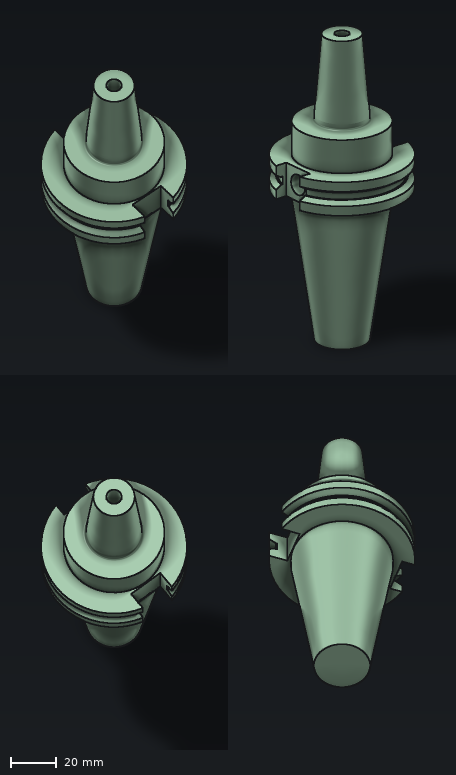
import cadquery as cq

total_height = 144.5
gauge_height = 68.5
flange_bottom = 71.6
flange_thickness = 15.9
flange_top = flange_bottom + flange_thickness
flange_middle = flange_bottom + flange_thickness / 2
collar_top = 103.3
neck_fillet = 1.3
neck_fillet_top = collar_top + neck_fillet
nose_taper_start = 106.5

gauge_radius = 22.2
shank_taper = 7 / 48
shank_end_radius = gauge_radius - gauge_height * shank_taper
flange_radius = 31.8
collar_radius = 22.0
neck_radius = 12.1
nose_radius = 9.0

groove_radius = 28.2
groove_step_radius = 28.9
groove_floor_width = 3.5
groove_mouth_width = 7.0

slot_width = 16.0
left_slot_floor = 25.0
right_slot_floor = 22.4
pocket_radius = 4.8
pocket_depth = 7.2

bore_radius = 3.3
bore_depth = 36.1


def turned_body():
    """Shank, flange, collar and tapered nose, revolved about Z."""
    fillet_drop = neck_fillet * (1 - 0.5**0.5)
    return (
        cq.Workplane("XZ")
        .moveTo(0, 0)
        .lineTo(shank_end_radius, 0)
        .lineTo(gauge_radius, gauge_height)
        .lineTo(gauge_radius, flange_bottom)
        .lineTo(flange_radius, flange_bottom)
        .lineTo(flange_radius, flange_middle - groove_mouth_width / 2)
        .lineTo(groove_step_radius, flange_middle - groove_floor_width / 2)
        .lineTo(groove_radius, flange_middle - groove_floor_width / 2)
        .lineTo(groove_radius, flange_middle + groove_floor_width / 2)
        .lineTo(groove_step_radius, flange_middle + groove_floor_width / 2)
        .lineTo(flange_radius, flange_middle + groove_mouth_width / 2)
        .lineTo(flange_radius, flange_top)
        .lineTo(collar_radius, flange_top)
        .lineTo(collar_radius, collar_top)
        .lineTo(neck_radius + neck_fillet, collar_top)
        .threePointArc(
            (neck_radius + fillet_drop, collar_top + fillet_drop),
            (neck_radius, neck_fillet_top),
        )
        .lineTo(neck_radius, nose_taper_start)
        .lineTo(nose_radius, total_height)
        .lineTo(0, total_height)
        .close()
        .revolve(360, (0, 0, 0), (0, 1, 0))
    )


def drive_slot(floor, side):
    """Cutter for a slot open outwards on the given side (-1 or 1) of X."""
    depth = flange_radius - floor
    return (
        cq.Workplane("XY")
        .box(depth, slot_width, flange_thickness)
        .translate((side * (floor + depth / 2), 0, flange_middle))
    )


def slot_pocket():
    """Cutter for the blind round pocket in the -X slot floor."""
    return (
        cq.Workplane("YZ", origin=(-left_slot_floor, 0, 0))
        .center(0, flange_middle)
        .circle(pocket_radius)
        .extrude(pocket_depth)
    )


def tool_bore():
    """Cutter for the blind bore in the nose."""
    return (
        cq.Workplane("XY", origin=(0, 0, total_height - bore_depth))
        .circle(bore_radius)
        .extrude(bore_depth)
    )


result = (
    turned_body()
    .cut(drive_slot(left_slot_floor, -1))
    .cut(drive_slot(right_slot_floor, 1))
    .cut(slot_pocket())
    .cut(tool_bore())
)